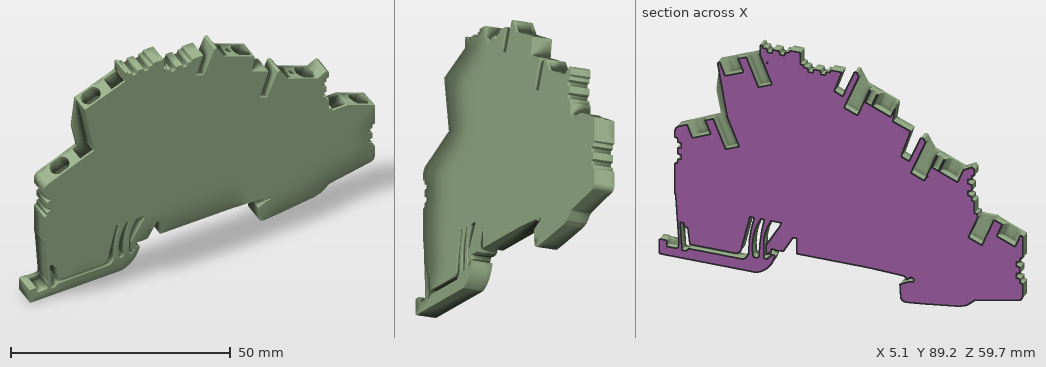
import cadquery as cq
import math

THICKNESS = 5.1
LENGTH = 89.17
HEIGHT = 59.67
HALF_X = THICKNESS / 2
HALF_Y = LENGTH / 2
HALF_Z = HEIGHT / 2

CROWN_Z = HALF_Z
MARKER_TOP_Z = 26.8
RAIL_SEAT_Z = -22.75
LATCH_BASE_Z = -29.65
LATCH_TOE_Z = -25.7
FOOT_SLOT_TOP_Z = -15.5
FRONT_FACE_Y = -40.8
REAR_DECK_Z = -3.9
REAR_STEP_Y = 32.75
LOWEST_DECK_OUTER = (HALF_Y, -6.8)
LOWEST_DECK_INNER = (37.7, REAR_DECK_Z)
FRONT_BULGE = (-31.3, 14.9)
FRONT_NOTCH = (-30.1, 8.8)
FRONT_TIP = (-30.35, 23.0)

PORT_TILT = 22.5
FUNNEL_DIAMETER = 4.8
FUNNEL_WIDTH = 4.1
FUNNEL_DEPTH = 3.5
LEVER_OFFSET = 6.4
LEVER_LENGTH = 3.5
LEVER_DEPTH = 7.8
LEVER_WALL_LEFT = 0.8
LEVER_WALL_RIGHT = 0.5
PROBE_OFFSET = 3.5
PROBE_DIAMETER = 1.6
PROBE_DEPTH = FUNNEL_DEPTH
CUT_CLEARANCE = 6.0

FRONT_PORT_PITCH = (-8.05, -17.78)
REAR_PORT_PITCH = (16.4, -13.58)
UPPER_FRONT_PORT = (-27.5, 24.17)
UPPER_REAR_PORT = (11.3, 21.81)
LOWEST_REAR_PORT = (41.8, -5.65)

SIDE_WALL = 0.8
UNDERCUT_FOOT = (-28.0, 9.65)
HALF_STEP = 0.25

TOE_CHAMFER = 0.2
TOE_WALL = 1.1
TOE_RECESS_START_Y = -39.9
TOE_RECESS_END_Y = -42.7
TOE_RECESS_DEPTH = 1.6
TOE_RECESS_FILLET = 0.7


def grip(centre, along, inward):
    """Stepped double groove: points along an edge, given as unit vectors in (Y, Z)."""
    half_length, step_start = 3.35, 3.15
    groove_outer, groove_floor_outer = 2.25, 2.0
    groove_floor_inner, groove_inner = 1.05, 0.8
    step_depth, groove_depth = 0.65, 1.6
    half = [
        (half_length, 0),
        (step_start, step_depth),
        (groove_outer, step_depth),
        (groove_floor_outer, groove_depth),
        (groove_floor_inner, groove_depth),
        (groove_inner, step_depth),
    ]
    profile = [(-s, d) for s, d in half] + list(reversed(half))
    return [
        (
            centre[0] + s * along[0] + d * inward[0],
            centre[1] + s * along[1] + d * inward[1],
        )
        for s, d in profile
    ]


def housing_outline():
    """Closed outer profile in the YZ plane, run from the crown down the front and back along the rear."""
    to_front, to_rear, down, up = (-1, 0), (1, 0), (0, -1), (0, 1)
    crown_and_front = [
        *grip((-15.95, CROWN_Z), to_front, down),
        (-19.9, CROWN_Z),
        (-19.9, 27.3),
        FRONT_TIP,
        FRONT_BULGE,
        FRONT_NOTCH,
        (-39.6, 4.6),
    ]
    front_edge = [
        *grip((FRONT_FACE_Y, -1.9), down, to_rear),
        (FRONT_FACE_Y, -13.1),
        (-40.6, -13.6),
        (-39.8, -25.5),
        (-40.2, -25.95),
        (-42.8, -25.95),
        (-43.0, LATCH_TOE_Z),
        (-HALF_Y + TOE_CHAMFER, LATCH_TOE_Z),
        (-HALF_Y, LATCH_TOE_Z - TOE_CHAMFER),
        (-HALF_Y, LATCH_BASE_Z + TOE_CHAMFER),
        (-HALF_Y + TOE_CHAMFER, LATCH_BASE_Z),
        (-20.8, LATCH_BASE_Z),
    ]
    latch_hook = [
        (-16.1, -24.4),
        (-16.7, -24.1),
        (-17.25, -24.1),
        (-17.35, -24.8),
        (-17.8, -25.0),
        (-18.1, -25.6),
        (-18.9, -25.4),
        (-18.9, -20.5),
    ]
    latch_slot_and_rail_seat = [
        (-14.75, FOOT_SLOT_TOP_Z),
        (-14.95, -16.3),
        (-18.0, -21.3),
        (-18.4, -22.0),
        (-18.4, -24.5),
        (-17.1, -23.6),
        (-17.0, RAIL_SEAT_Z),
        (-15.4, -22.9),
        (-14.1, RAIL_SEAT_Z),
        (-11.8, -18.8),
        (-10.9, -18.8),
        (-10.9, RAIL_SEAT_Z),
        (7.2, RAIL_SEAT_Z),
        (15.4, -23.1),
        (16.2, -23.8),
        (17.2, -23.1),
        (17.8, -23.4),
        (17.7, -24.1),
        (16.6, -24.3),
        (14.4, -25.4),
        (14.6, -28.9),
    ]
    rear_hook_and_side = [
        (20.0, -29.4),
        (29.0, -28.2),
        (30.8, -27.6),
        (32.9, -25.8),
        (43.5, -23.7),
    ]
    rear_decks = [
        *grip((HALF_Y, -15.75), up, to_front),
        LOWEST_DECK_OUTER,
        LOWEST_DECK_INNER,
        (33.5, REAR_DECK_Z),
        (33.5, -3.1),
        (REAR_STEP_Y, -3.1),
        *grip((REAR_STEP_Y, 3.25), up, to_front),
        (REAR_STEP_Y, 8.1),
        (32.1, 8.7),
        (29.8, 7.4),
        (22.2, 10.5),
    ]
    lower_marker_slot = [
        (16.7, 7.1),
        (14.8, 7.9),
        (17.1, 14.9),
        (12.8, 16.6),
        (13.5, 20.9),
        (5.8, 24.1),
    ]
    upper_marker_slot = [
        (0.4, 20.6),
        (-1.6, 21.5),
        (0.25, MARKER_TOP_Z),
        *grip((-5.9, MARKER_TOP_Z), to_front, down),
        (-9.95, MARKER_TOP_Z),
        (-9.95, CROWN_Z),
    ]
    return (
        cq.Workplane("YZ", origin=(-HALF_X, 0, 0))
        .polyline(crown_and_front)
        .threePointArc((-40.5, 3.9), (FRONT_FACE_Y, 2.7))
        .polyline(front_edge, includeCurrent=True)
        .threePointArc((-18.1, -28.0), (-16.3, -24.9))
        .polyline(latch_hook, includeCurrent=True)
        .threePointArc((-18.3, -18.1), (-17.1, FOOT_SLOT_TOP_Z))
        .polyline(latch_slot_and_rail_seat, includeCurrent=True)
        .threePointArc((15.16, -29.58), (16.0, -HALF_Z))
        .polyline(rear_hook_and_side, includeCurrent=True)
        .threePointArc((44.3, -23.2), (HALF_Y, -22.4))
        .polyline(rear_decks, includeCurrent=True)
        .lineTo(20.5, 13.3)
        .threePointArc((20.0, 13.75), (19.5, 13.6))
        .polyline(lower_marker_slot, includeCurrent=True)
        .lineTo(4.1, 27.0)
        .threePointArc((3.7, 27.5), (3.2, 27.3))
        .polyline(upper_marker_slot, includeCurrent=True)
        .close()
    )


def foot_slots():
    """Two through slots that leave the curved spring legs of the latch foot."""
    middle_slot = (
        cq.Workplane("YZ", origin=(-HALF_X, 0, 0))
        .moveTo(-18.9, FOOT_SLOT_TOP_Z)
        .threePointArc((-19.75, -20.2), (-20.15, -25.0))
        .threePointArc((-20.85, -25.75), (-21.6, -25.0))
        .threePointArc((-21.4, -20.2), (-19.6, FOOT_SLOT_TOP_Z))
        .close()
    )
    release_slot = (
        cq.Workplane("YZ", origin=(-HALF_X, 0, 0))
        .moveTo(-21.3, FOOT_SLOT_TOP_Z)
        .threePointArc((-22.4, -20.5), (-22.7, -24.7))
        .threePointArc((-23.1, -25.9), (-24.1, -26.75))
        .lineTo(-37.3, -26.75)
        .lineTo(-38.0, -27.5)
        .lineTo(-38.95, -27.5)
        .lineTo(-39.4, -20.5)
        .lineTo(-38.7, -20.4)
        .lineTo(-38.3, -21.3)
        .lineTo(-37.6, -21.6)
        .lineTo(-37.1, -25.7)
        .lineTo(-25.8, -25.7)
        .threePointArc((-24.9, -25.2), (-24.4, -24.2))
        .lineTo(-22.3, FOOT_SLOT_TOP_Z)
        .close()
    )
    return middle_slot.extrude(THICKNESS).union(release_slot.extrude(THICKNESS))


def port_cutter(centre, rear, probe):
    """Funnel, lever opening and optional test-probe hole, square to a tilted deck at centre (Y, Z)."""
    side = 1 if rear else -1
    tilt = math.radians(PORT_TILT)
    deck = cq.Plane(
        origin=(0, centre[0], centre[1]),
        xDir=(1, 0, 0),
        normal=(0, side * math.sin(tilt), math.cos(tilt)),
    )
    funnel_floor = cq.Workplane(deck).workplane(offset=-FUNNEL_DEPTH)
    funnel_height = FUNNEL_DEPTH + CUT_CLEARANCE
    flat_sides = funnel_floor.rect(FUNNEL_WIDTH, FUNNEL_DIAMETER).extrude(funnel_height)
    cutter = funnel_floor.circle(FUNNEL_DIAMETER / 2).extrude(funnel_height).intersect(flat_sides)

    lever_width = THICKNESS - LEVER_WALL_LEFT - LEVER_WALL_RIGHT
    lever_x = (LEVER_WALL_LEFT - LEVER_WALL_RIGHT) / 2
    lever = (
        cq.Workplane(deck)
        .workplane(offset=-LEVER_DEPTH)
        .center(lever_x, -side * LEVER_OFFSET)
        .rect(lever_width, LEVER_LENGTH)
        .extrude(LEVER_DEPTH + CUT_CLEARANCE)
    )
    cutter = cutter.union(lever)
    if probe:
        probe_hole = (
            cq.Workplane(deck)
            .workplane(offset=-PROBE_DEPTH)
            .center(0, -side * PROBE_OFFSET)
            .circle(PROBE_DIAMETER / 2)
            .extrude(PROBE_DEPTH + CUT_CLEARANCE)
        )
        cutter = cutter.union(probe_hole)
    return cutter


def shifted(point, pitch):
    """Point moved by one port pitch in (Y, Z)."""
    return (point[0] + pitch[0], point[1] + pitch[1])


def front_undercut():
    """Wedge under the upper front deck, open to +X and closed at -X by the thin side wall."""
    return (
        cq.Workplane("YZ", origin=(-HALF_X + SIDE_WALL, 0, 0))
        .polyline([FRONT_TIP, UNDERCUT_FOOT, FRONT_NOTCH, FRONT_BULGE])
        .close()
        .extrude(THICKNESS)
    )


def lowest_deck_step():
    """Shallow slice that lowers the -X half of the lowest rear deck."""
    top_edge = [LOWEST_DECK_OUTER, LOWEST_DECK_INNER]
    bottom_edge = [(y, z - HALF_STEP) for y, z in reversed(top_edge)]
    return (
        cq.Workplane("YZ", origin=(-HALF_X, 0, 0))
        .polyline(top_edge + bottom_edge)
        .close()
        .extrude(HALF_X)
    )


def toe_recess():
    """Recess in the latch toe, open to +X, with a rounded corner at the foot of the housing."""
    length = TOE_RECESS_START_Y - TOE_RECESS_END_Y
    return (
        cq.Workplane("XY")
        .box(THICKNESS, length, 2 * TOE_RECESS_DEPTH)
        .edges("|X and >Y and <Z")
        .fillet(TOE_RECESS_FILLET)
        .translate((TOE_WALL, TOE_RECESS_END_Y + length / 2, LATCH_TOE_Z))
    )


def make_housing():
    body = housing_outline().extrude(THICKNESS)
    body = body.cut(foot_slots()).cut(front_undercut()).cut(lowest_deck_step()).cut(toe_recess())
    for centre in (UPPER_FRONT_PORT, shifted(UPPER_FRONT_PORT, FRONT_PORT_PITCH)):
        body = body.cut(port_cutter(centre, rear=False, probe=False))
    for centre in (UPPER_REAR_PORT, shifted(UPPER_REAR_PORT, REAR_PORT_PITCH)):
        body = body.cut(port_cutter(centre, rear=True, probe=True))
    return body.cut(port_cutter(LOWEST_REAR_PORT, rear=True, probe=False))


housing = make_housing()

result = cq.Compound.makeCompound([*housing.vals()])